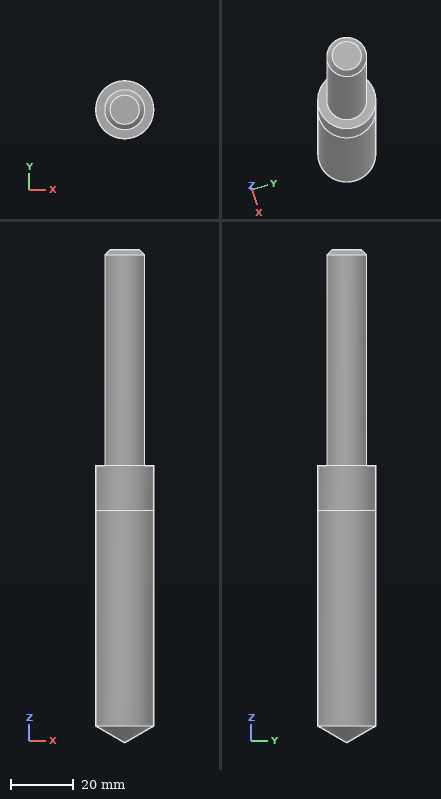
import cadquery as cq
import math

total_length = 157.0
body_diameter = 18.5
shank_diameter = 12.7
point_angle = 120.0
seam_height = 74.0
shoulder_height = 88.2
shank_chamfer = 1.7

body_radius = body_diameter / 2
shank_radius = shank_diameter / 2
point_height = body_radius / math.tan(math.radians(point_angle / 2))


def make_cutter():
    """Cylindrical lower body with a conical point on the Z axis."""
    return (
        cq.Workplane("XZ")
        .moveTo(0, 0)
        .lineTo(body_radius, point_height)
        .lineTo(body_radius, seam_height)
        .lineTo(0, seam_height)
        .close()
        .revolve(360, (0, 0, 0), (0, 1, 0))
    )


def make_holder():
    """Collar as wide as the cutter, carrying a slimmer shank with a chamfered end."""
    collar = (
        cq.Workplane("XY", origin=(0, 0, seam_height))
        .circle(body_radius)
        .extrude(shoulder_height - seam_height)
    )
    shank = (
        cq.Workplane("XY", origin=(0, 0, shoulder_height))
        .circle(shank_radius)
        .extrude(total_length - shoulder_height)
        .faces(">Z")
        .edges()
        .chamfer(shank_chamfer)
    )
    return collar.union(shank)


cutter = make_cutter()
holder = make_holder()

result = cq.Compound.makeCompound([cutter.val(), holder.val()])